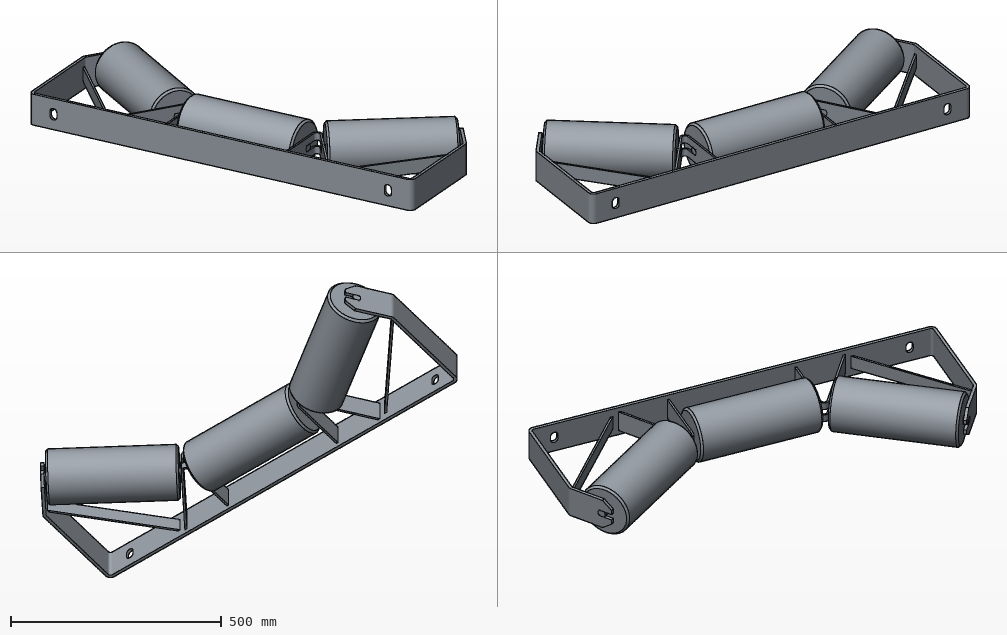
import cadquery as cq
import math

frame_width = 1050.0
strip_height = 80.0
frame_thickness = 8.0
frame_bend_radius = 10.0
arm_tilt = 35.0
knee_height = 257.0
arm_length = 115.0
arm_corner_length = 25.0
arm_corner_height = 20.0
mount_slot_width = 19.0
mount_slot_length = 29.0
mount_slot_offset = 458.0

roller_diameter = 133.0
roller_length = 315.0
roller_chamfer = 5.0
centre_roller_height = 127.0
wing_roller_height = 233.0
centre_gap = 4.0
wing_gap = 5.0
shaft_diameter = 20.0
shaft_flat_width = 16.0

bracket_thickness = 5.0
bracket_height = 55.0
bracket_bend_radius = 10.0

brace_thickness = 5.0
brace_height = 36.0
brace_top = 247.0
brace_foot = 310.0

tilt = math.radians(arm_tilt)
half_width = frame_width / 2
half_roller = roller_length / 2
slot_reach = roller_diameter / 2
slot_depth = 13.0
arm_direction = cq.Vector(math.sin(tilt), math.cos(tilt))
wing_axis = cq.Vector(math.cos(tilt), -math.sin(tilt))
knee = cq.Vector(-half_width, knee_height)

arm_face_distance = half_roller + wing_gap + frame_thickness
shaft_rise = wing_roller_height - arm_face_distance * wing_axis.y - knee_height
wing_centre = knee + arm_direction * (shaft_rise / arm_direction.y) + wing_axis * arm_face_distance
centre_roller_centre = cq.Vector(0, centre_roller_height)


def bent_strip(points, thickness, height, bend_radius):
    """Strip of the given height along Z whose middle line follows the points with rounded bends."""
    path = cq.Wire.makePolygon(points).fillet(bend_radius)
    start_plane = cq.Plane(origin=points[0], xDir=(0, 0, 1), normal=points[1] - points[0])
    return cq.Workplane(start_plane).rect(height, thickness).sweep(cq.Workplane(path))


def inside_frame():
    """Space between the uprights and above the base, used to trim strips flush with the frame."""
    inner_width = frame_width - 2 * frame_thickness
    space = cq.Workplane("XY").box(inner_width, frame_width, strip_height, centered=(True, False, True))
    return space.translate((0, frame_thickness, 0))


def end_slot(centre, outward, opening, gap):
    """Cutter for a shaft seat: a flat-sided round bottom, open towards the opening direction."""
    seat_plane = cq.Plane(origin=centre + outward * (half_roller + gap), xDir=opening, normal=outward)
    flats = cq.Workplane(seat_plane).rect(shaft_diameter, shaft_flat_width).extrude(slot_depth)
    seat = cq.Workplane(seat_plane).circle(shaft_diameter / 2).extrude(slot_depth).intersect(flats)
    entry = (
        cq.Workplane(seat_plane)
        .center(slot_reach / 2, 0)
        .rect(slot_reach, shaft_flat_width)
        .extrude(slot_depth)
    )
    return seat.union(entry)


def arm_corner_cutter(tip):
    """Two wedges that bevel the upper and lower corners at the tip of the left arm."""
    top = strip_height / 2
    tip_plane = cq.Plane(origin=tip, xDir=arm_direction, normal=wing_axis)
    wedge = (
        cq.Workplane(tip_plane)
        .polyline([(0, top), (-arm_corner_length, top), (0, top - arm_corner_height)])
        .close()
        .extrude(frame_thickness, both=True)
    )
    return wedge.union(wedge.mirror("XY"))


def make_frame():
    inset = frame_thickness / 2
    inner_drop = inset * math.tan(tilt / 2)
    middle_knee = knee + cq.Vector(inset, -inner_drop)
    left_tip = middle_knee + arm_direction * (arm_length + inner_drop)
    left_points = [left_tip, middle_knee, cq.Vector(inset - half_width, inset)]
    right_points = [cq.Vector(-point.x, point.y) for point in reversed(left_points)]
    frame = bent_strip(left_points + right_points, frame_thickness, strip_height, frame_bend_radius)

    arm_slot = end_slot(wing_centre, -wing_axis, arm_direction, wing_gap)
    for cutter in (arm_corner_cutter(left_tip), arm_slot):
        frame = frame.cut(cutter).cut(cutter.mirror("YZ"))

    mount_slots = (
        cq.Workplane("XZ")
        .pushPoints([(-mount_slot_offset, 0), (mount_slot_offset, 0)])
        .slot2D(mount_slot_length, mount_slot_width, 90)
        .extrude(-frame_thickness)
    )
    return frame.cut(mount_slots)


def make_bracket():
    """Left bracket: one leg carries the wing roller, the other the centre roller."""
    to_middle = half_roller + bracket_thickness / 2
    wing_seat = wing_centre + wing_axis * (to_middle + wing_gap)
    upright_x = -(to_middle + centre_gap)
    fold = wing_seat + arm_direction * ((upright_x - wing_seat.x) / arm_direction.x)
    wing_foot = wing_seat - arm_direction * (wing_seat.y / arm_direction.y)
    upright_foot = cq.Vector(upright_x, 0)
    strip = bent_strip(
        [wing_foot, fold, upright_foot], bracket_thickness, bracket_height, bracket_bend_radius
    )

    wing_slot = end_slot(wing_centre, wing_axis, arm_direction, wing_gap)
    centre_slot = end_slot(centre_roller_centre, cq.Vector(-1, 0), cq.Vector(0, 1), centre_gap)
    return strip.intersect(inside_frame()).cut(wing_slot).cut(centre_slot)


def make_brace():
    """Left diagonal strip between upright and base, trimmed flush with both."""
    top = cq.Vector(frame_thickness - half_width, brace_top)
    foot = cq.Vector(-brace_foot, frame_thickness)
    run = foot - top
    plane = cq.Plane(origin=(top + foot) / 2, xDir=run, normal=(0, 0, 1))
    untrimmed_length = run.Length + 4 * brace_thickness
    brace = cq.Workplane(plane).box(untrimmed_length, brace_thickness, brace_height)
    return brace.intersect(inside_frame())


def make_shaft_end(centre, outward, gap, thickness):
    """Round neck across the gap, then a flattened end flush with the outer face of the strip."""
    face = cq.Plane(origin=centre + outward * half_roller, xDir=(0, 0, 1), normal=outward)
    neck = cq.Workplane(face).circle(shaft_diameter / 2).extrude(gap)
    seat_plane = cq.Workplane(face).workplane(offset=gap)
    flats = seat_plane.rect(shaft_flat_width, shaft_diameter).extrude(thickness)
    return neck.union(seat_plane.circle(shaft_diameter / 2).extrude(thickness).intersect(flats))


def make_roller(centre, axis, gap, start_thickness, end_thickness):
    """Chamfered roller with a shaft end on either side, seated in strips of the given thicknesses."""
    start_face = cq.Plane(origin=centre - axis * half_roller, xDir=(0, 0, 1), normal=axis)
    roller = cq.Workplane(start_face).circle(roller_diameter / 2).extrude(roller_length)
    roller = roller.faces("%PLANE").chamfer(roller_chamfer)
    roller = roller.union(make_shaft_end(centre, -axis, gap, start_thickness))
    return roller.union(make_shaft_end(centre, axis, gap, end_thickness))


frame = make_frame()
centre_roller = make_roller(
    centre_roller_centre, cq.Vector(1, 0), centre_gap, bracket_thickness, bracket_thickness
)
left_bracket = make_bracket()
left_brace = make_brace()
left_wing_roller = make_roller(wing_centre, wing_axis, wing_gap, frame_thickness, bracket_thickness)

bodies = [frame, centre_roller]
for left_body in (left_bracket, left_brace, left_wing_roller):
    bodies.append(left_body)
    bodies.append(left_body.mirror("YZ"))

result = cq.Compound.makeCompound([body.solids().val() for body in bodies])